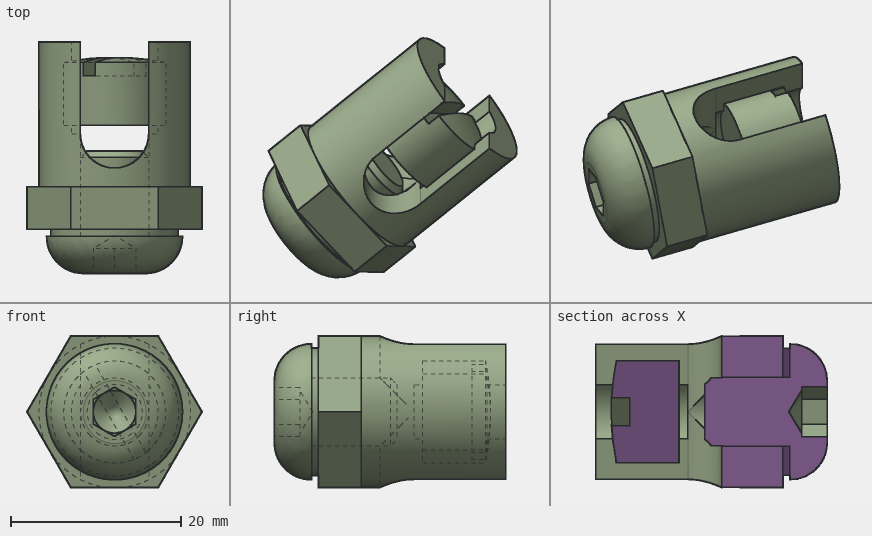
import cadquery as cq
import math

hex_flats = 17.8
hex_length = 5.0
body_length = 22.0
slot_width = 8.0
slot_floor_y = 7.2
bore_diameter = 10.2

plug_diameter = 12.0
plug_length = 8.0
plug_flat_y = 12.2
dome_radius = 30.0
driver_slot_width = 1.6
driver_slot_depth = 2.2
driver_slot_angle = 30.0

washer_diameter = 15.0
washer_thickness = 0.8

screw_diameter = 8.0
screw_tip_diameter = 6.47
screw_length = 10.0
head_diameter = 16.0
head_height = 4.4
head_face_diameter = 7.4
socket_flats = 5.0
socket_depth = 3.0
drill_point_angle = 118.0

hex_half_angle = 30.0

slot_centre_y = slot_floor_y + slot_width / 2
dome_apex_y = plug_flat_y + plug_length
head_seat_y = -washer_thickness
head_face_y = head_seat_y - head_height
screw_tip_y = head_seat_y + screw_length


def plane_at(y):
    """Plane square to the axis, with its normal along +Y and its local x along +X."""
    return cq.Workplane(cq.Plane(origin=(0, y, 0), xDir=(1, 0, 0), normal=(0, 1, 0)))


def cylinder(diameter, y_start, y_end):
    return plane_at(y_start).circle(diameter / 2).extrude(y_end - y_start)


def hex_prism(across_flats, y_start, y_end):
    """Hexagonal prism with two of its corners pointing along X."""
    across_corners = across_flats / math.cos(math.radians(hex_half_angle))
    return plane_at(y_start).polygon(6, across_corners).extrude(y_end - y_start)


def make_plug_blank():
    """Plug with its shallow spherical dome but no driver slot; it also shapes the seat in the sleeve."""
    blank = cylinder(plug_diameter, plug_flat_y, dome_apex_y)
    dome = cq.Workplane("XY").sphere(dome_radius).translate((0, dome_apex_y - dome_radius, 0))
    return blank.intersect(dome)


def make_slotted_body():
    """Hexagon and sleeve, with a bore, a seat for the plug, a screw hole and a round-ended slot."""
    body = hex_prism(hex_flats, 0, hex_length)
    body = body.union(cylinder(hex_flats, hex_length, body_length))
    body = body.cut(cylinder(bore_diameter, slot_centre_y, body_length))
    body = body.cut(make_plug_blank())
    body = body.cut(cylinder(screw_diameter, 0, slot_centre_y))

    slot_end = cq.Workplane("XY").center(0, slot_centre_y).circle(slot_width / 2)
    slot_end = slot_end.extrude(hex_flats / 2, both=True)
    slot_run = body_length - slot_centre_y
    slot = cq.Workplane("XY").center(0, slot_centre_y + slot_run / 2).rect(slot_width, slot_run)
    slot = slot.extrude(hex_flats / 2, both=True)
    return body.cut(slot.union(slot_end))


def make_plug():
    """Domed plug with a screwdriver slot across the dome."""
    driver_slot = plane_at(dome_apex_y).rect(driver_slot_width, plug_diameter)
    driver_slot = driver_slot.extrude(-driver_slot_depth)
    driver_slot = driver_slot.rotate((0, 0, 0), (0, 1, 0), -driver_slot_angle)
    return make_plug_blank().cut(driver_slot)


def make_washer():
    washer = cylinder(washer_diameter, head_seat_y, 0)
    return washer.cut(cylinder(screw_diameter, head_seat_y, 0))


def make_screw():
    """Button head screw with a chamfered tip and a hexagon socket drilled to a cone."""
    shank_radius = screw_diameter / 2
    tip_chamfer = (screw_diameter - screw_tip_diameter) / 2
    head_radius = head_diameter / 2
    face_radius = head_face_diameter / 2

    arc_width = head_radius - face_radius
    arc_radius = (arc_width**2 + head_height**2) / (2 * arc_width)
    arc_centre_x = head_radius - arc_radius
    half_sweep = math.atan2(head_height, face_radius - arc_centre_x) / 2
    arc_middle = (
        arc_centre_x + arc_radius * math.cos(half_sweep),
        head_seat_y - arc_radius * math.sin(half_sweep),
    )

    screw = (
        cq.Workplane("XY")
        .moveTo(0, head_face_y)
        .lineTo(face_radius, head_face_y)
        .threePointArc(arc_middle, (head_radius, head_seat_y))
        .lineTo(shank_radius, head_seat_y)
        .lineTo(shank_radius, screw_tip_y - tip_chamfer)
        .lineTo(screw_tip_diameter / 2, screw_tip_y)
        .lineTo(0, screw_tip_y)
        .close()
        .revolve(360, (0, 0, 0), (0, 1, 0))
    )

    socket_floor_y = head_face_y + socket_depth
    socket = hex_prism(socket_flats, head_face_y, socket_floor_y)
    socket = socket.rotate((0, 0, 0), (0, 1, 0), hex_half_angle)
    socket_radius = socket_flats / 2
    cone_depth = socket_radius / math.tan(math.radians(drill_point_angle / 2))
    drill_point = cq.Solid.makeCone(
        socket_radius, 0, cone_depth, cq.Vector(0, socket_floor_y, 0), cq.Vector(0, 1, 0)
    )
    return screw.cut(socket).cut(cq.Workplane(drill_point))


slotted_body = make_slotted_body()
plug = make_plug()
washer = make_washer()
screw = make_screw()

result = cq.Compound.makeCompound([slotted_body.val(), plug.val(), washer.val(), screw.val()])